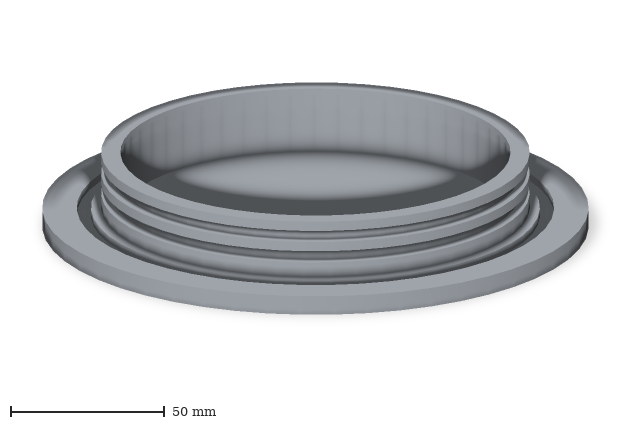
import cadquery as cq

flange_diameter = 177.8
total_height = 25.4
flange_thickness = 6.35

spigot_diameter = 139.45
bore_diameter = 126.95
floor_thickness = 3.81

rib_height = 3.175
ring_groove_width = 3.81
ring_groove_depth = 3.05
ring_groove_count = 2

face_groove_inner_diameter = 146.05
face_groove_outer_diameter = 155.3
face_groove_depth = 2.6


def disc(diameter, height, base_z):
    """Solid cylinder on the Z axis, standing on base_z."""
    return cq.Workplane("XY").workplane(offset=base_z).circle(diameter / 2).extrude(height)


def ring(outer_diameter, inner_diameter, height, base_z):
    """Flat ring around the Z axis, standing on base_z."""
    return disc(outer_diameter, height, base_z).cut(disc(inner_diameter, height, base_z))


def make_body():
    """Flange with the spigot on top, bored from above down to the floor."""
    flange = disc(flange_diameter, flange_thickness, 0)
    spigot = disc(spigot_diameter, total_height, 0)
    bore = disc(bore_diameter, total_height - floor_thickness, floor_thickness)
    return flange.union(spigot).cut(bore)


def cut_ring_grooves(body):
    """Cut the O-ring grooves, leaving a rib above each one."""
    root_diameter = spigot_diameter - 2 * ring_groove_depth
    groove_pitch = rib_height + ring_groove_width
    for index in range(ring_groove_count):
        groove_base = total_height - (index + 1) * groove_pitch
        body = body.cut(ring(spigot_diameter, root_diameter, ring_groove_width, groove_base))
    return body


def cut_face_groove(body):
    """Cut the face-seal groove around the foot of the spigot."""
    groove = ring(
        face_groove_outer_diameter,
        face_groove_inner_diameter,
        face_groove_depth,
        flange_thickness - face_groove_depth,
    )
    return body.cut(groove)


result = cut_face_groove(cut_ring_grooves(make_body()))